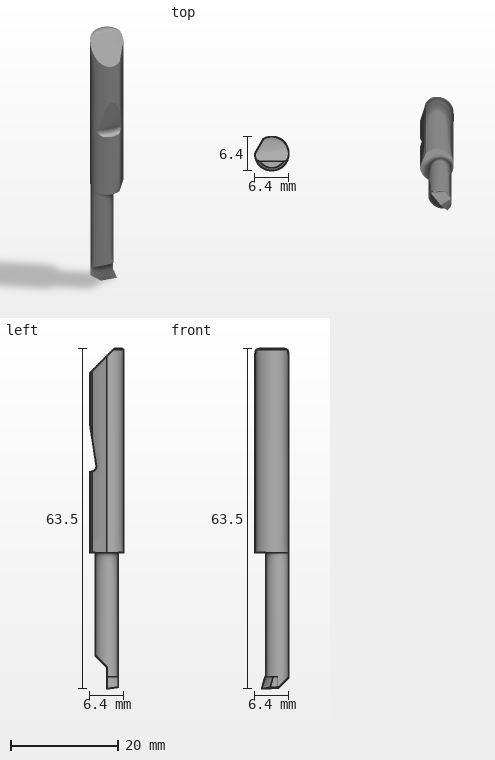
import cadquery as cq
import math

total_length = 63.5
shank_radius = 3.2
shank_bottom = 25.4
shank_rim_width = 0.5
shank_rim_height = 0.25

flat_angle = 60.0

slope_start_y = -1.45

notch_top = 49.4
notch_bottom = 40.5
notch_floor_y = 1.95
notch_radius = 1.0

neck_radius = 2.15
neck_x = shank_radius - neck_radius
relief_top = 6.2

head_height = 2.3
tip_x = -1.9
head_lean = 0.65
flank_run = 1.5
corner_cut_x = 1.1
end_tilt_y = 6.0
end_tilt_x = 2.5

margin = 6.35


def extrude_along_x(outline):
    """Extrude a closed outline in YZ right across the part."""
    return outline.close().extrude(shank_radius + margin, both=True)


def make_shank():
    shank_length = total_length - shank_bottom
    shank = cq.Workplane("XY").workplane(offset=shank_bottom).circle(shank_radius).extrude(shank_length)
    return shank.faces(">Z").chamfer(shank_rim_height, shank_rim_width)


def side_flat():
    """Material beyond the chord on the (-X, +Y) side."""
    angle = math.radians(flat_angle)
    chord_x = -shank_radius * math.cos(angle)
    chord_y = shank_radius * math.sin(angle)
    outline = [(-shank_radius, 0), (chord_x, chord_y), (-shank_radius, shank_radius)]
    flat = cq.Workplane("XY").workplane(offset=shank_bottom).polyline(outline).close()
    return flat.extrude(total_length - shank_bottom)


def end_slope():
    slope_run = shank_radius + margin - slope_start_y
    outline = (
        cq.Workplane("YZ")
        .moveTo(slope_start_y, total_length)
        .lineTo(slope_start_y + slope_run, total_length - slope_run)
        .lineTo(slope_start_y + slope_run, total_length)
    )
    return extrude_along_x(outline)


def clamping_notch():
    """Long ramp running down to a rounded step."""
    arc_offset = notch_radius * math.sqrt(0.5)
    arc_start_z = notch_bottom + notch_radius
    arc_end_y = notch_floor_y + notch_radius
    outline = (
        cq.Workplane("YZ")
        .moveTo(shank_radius, notch_top)
        .lineTo(notch_floor_y, arc_start_z)
        .threePointArc((arc_end_y - arc_offset, arc_start_z - arc_offset), (arc_end_y, notch_bottom))
        .lineTo(shank_radius + margin, notch_bottom)
        .lineTo(shank_radius + margin, notch_top)
    )
    return extrude_along_x(outline)


def make_neck():
    return cq.Workplane("XY").center(neck_x, 0).circle(neck_radius).extrude(shank_bottom)


def rake_relief():
    """Remove the +Y half of the neck end, leaving a 45 degree run-out."""
    outline = (
        cq.Workplane("YZ")
        .moveTo(0, -margin)
        .lineTo(0, relief_top - neck_radius)
        .lineTo(neck_radius, relief_top)
        .lineTo(neck_radius + margin, relief_top)
        .lineTo(neck_radius + margin, -margin)
    )
    return extrude_along_x(outline)


def head_space():
    """The -X half of the neck end, to be replaced by the cutting head."""
    width = shank_radius + margin
    space = cq.Workplane("XY").box(width, width, head_height, centered=(False, True, False))
    return space.translate((neck_x - width, 0, 0))


def cutting_head():
    """Leaning head with a flat flank and a flat back tangent to the neck."""

    def outline(edge_x):
        return [(edge_x, 0), (edge_x + flank_run, -neck_radius), (neck_x, -neck_radius), (neck_x, 0)]

    return (
        cq.Workplane("XY")
        .polyline(outline(tip_x))
        .close()
        .workplane(offset=head_height)
        .polyline(outline(tip_x + head_lean))
        .close()
        .loft(ruled=True, combine=True)
    )


def corner_cut():
    """45 degree cut behind the cutting edge on the +X side."""
    corner_run = shank_radius + margin - corner_cut_x
    outline = [(corner_cut_x, 0), (corner_cut_x + corner_run, corner_run), (corner_cut_x + corner_run, 0)]
    return cq.Workplane("XZ").polyline(outline).close().extrude(shank_radius, both=True)


def end_clearance():
    """Tilted block that clears the end face away from the cutting point."""
    size = 4 * margin
    block = cq.Workplane("XY").box(size, size, margin, centered=(True, True, False))
    block = block.translate((0, 0, -margin))
    block = block.rotate((0, 0, 0), (1, 0, 0), -end_tilt_y)
    block = block.rotate((0, 0, 0), (0, 1, 0), -end_tilt_x)
    return block.translate((tip_x, 0, 0))


shank = make_shank().cut(side_flat()).cut(end_slope()).cut(clamping_notch())
neck = make_neck().cut(rake_relief()).cut(head_space())
tool_end = neck.union(cutting_head()).cut(corner_cut()).cut(end_clearance())
result = shank.union(tool_end)